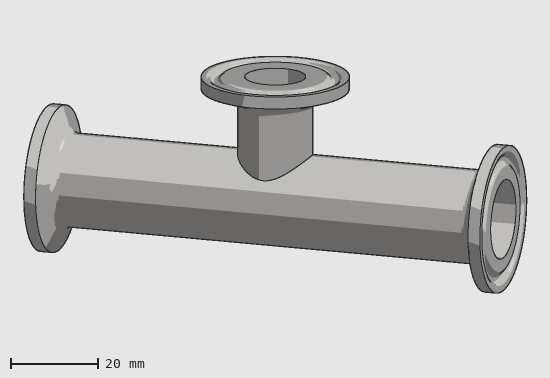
import cadquery as cq
import math

run_length = 110.0
overall_height = 46.0

run_outer_diameter = 21.7
run_bore_diameter = 18.4
branch_outer_diameter = 17.3
branch_bore_diameter = 14.0

flange_diameter = 34.0
branch_height = overall_height - flange_diameter / 2
rim_thickness = 2.9
cone_angle = math.radians(20.0)
neck_fillet = 1.9

groove_mean_radius = 13.9
groove_bottom_radius = 1.3
groove_edge_round = 0.9
groove_wall_angle = math.radians(60.0)


def ferrule(tube_diameter):
    """Ferrule with its face at Z = 0 and its body running along +Z, without a bore."""
    flange_radius = flange_diameter / 2
    tube_radius = tube_diameter / 2
    slope = math.tan(cone_angle)
    cone_end = rim_thickness + (flange_radius - tube_radius) * slope
    turn = math.pi / 2 - cone_angle
    tangent = neck_fillet * math.tan(turn / 2)
    neck_end = cone_end + tangent

    centre_radius = tube_radius + neck_fillet
    mid_radius = centre_radius - neck_fillet * math.cos(turn / 2)
    mid_height = neck_end - neck_fillet * math.sin(turn / 2)
    cone_tangent_radius = tube_radius + tangent * math.cos(cone_angle)
    cone_tangent_height = cone_end - tangent * math.sin(cone_angle)
    return (
        cq.Workplane("XZ")
        .lineTo(flange_radius, 0)
        .lineTo(flange_radius, rim_thickness)
        .lineTo(cone_tangent_radius, cone_tangent_height)
        .threePointArc((mid_radius, mid_height), (tube_radius, neck_end))
        .lineTo(0, neck_end)
        .close()
        .revolve(360, (0, 0, 0), (0, 1, 0))
        .cut(gasket_groove())
    )


def gasket_groove():
    """Ring with a round bottom whose walls blend into the face through rounded edges."""
    sine = math.sin(groove_wall_angle)
    cosine = math.cos(groove_wall_angle)
    half_sine = math.sin(groove_wall_angle / 2)
    half_cosine = math.cos(groove_wall_angle / 2)

    blend_offset = groove_bottom_radius * sine
    blend_depth = groove_edge_round * (1 - cosine)
    lip_offset = blend_offset + groove_edge_round * sine
    mid_offset = lip_offset - groove_edge_round * half_sine
    mid_depth = groove_edge_round * (1 - half_cosine)
    groove_depth = blend_depth + groove_bottom_radius * (1 - cosine)
    middle = groove_mean_radius
    return (
        cq.Workplane("XZ")
        .moveTo(middle - lip_offset, 0)
        .threePointArc((middle - mid_offset, mid_depth), (middle - blend_offset, blend_depth))
        .threePointArc((middle, groove_depth), (middle + blend_offset, blend_depth))
        .threePointArc((middle + mid_offset, mid_depth), (middle + lip_offset, 0))
        .close()
        .revolve(360, (0, 0, 0), (0, 1, 0))
    )


run = cq.Workplane("YZ").circle(run_outer_diameter / 2).extrude(run_length / 2, both=True)
branch = cq.Workplane("XY").circle(branch_outer_diameter / 2).extrude(branch_height)

run_end = ferrule(run_outer_diameter)
left_ferrule = run_end.rotate((0, 0, 0), (0, 1, 0), 90).translate((-run_length / 2, 0, 0))
right_ferrule = run_end.rotate((0, 0, 0), (0, 1, 0), -90).translate((run_length / 2, 0, 0))
top_ferrule = (
    ferrule(branch_outer_diameter)
    .rotate((0, 0, 0), (1, 0, 0), 180)
    .translate((0, 0, branch_height))
)
body = run.union(branch).union(left_ferrule).union(right_ferrule).union(top_ferrule)

run_bore = cq.Workplane("YZ").circle(run_bore_diameter / 2).extrude(run_length / 2, both=True)
branch_bore = cq.Workplane("XY").circle(branch_bore_diameter / 2).extrude(branch_height)
result = body.cut(run_bore).cut(branch_bore)